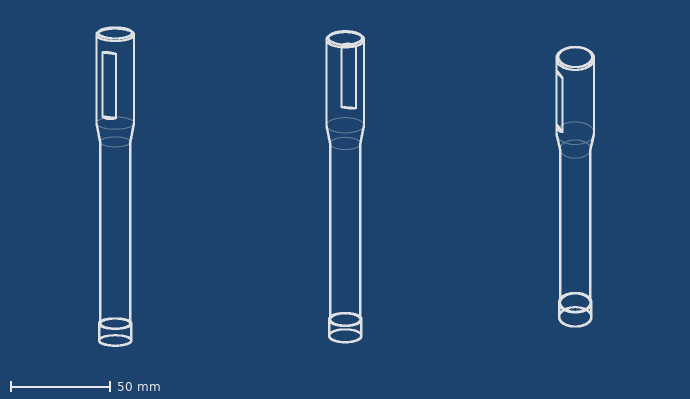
import cadquery as cq
import math

total_length = 166.5

head_diameter = 19.0
head_length = 48.0
head_chamfer = 1.0
taper_length = 10.0
neck_diameter = 15.3

flat_width = 7.3
flat_top_offset = 8.0
flat_length = 34.0
end_wall_angle = 45.0

tip_diameter = 16.3
tip_cylinder_length = 9.0
point_angle = 140.0

head_radius = head_diameter / 2
neck_radius = neck_diameter / 2
tip_radius = tip_diameter / 2
point_height = tip_radius / math.tan(math.radians(point_angle / 2))
tip_top = point_height + tip_cylinder_length
taper_top = total_length - head_length
taper_bottom = taper_top - taper_length


def revolve_profile(points):
    """Revolve a closed (radius, height) outline around the Z axis."""
    return cq.Workplane("XZ").polyline(points).close().revolve(360, (0, 0), (0, 1))


def make_flat_cutter():
    """Trapezoidal prism whose narrow face is the floor of the clamping flat."""
    floor_y = -math.sqrt(head_radius**2 - (flat_width / 2) ** 2)
    cut_reach = 2 * (head_radius + floor_y)
    outer_y = floor_y - cut_reach
    end_spread = cut_reach * math.tan(math.radians(end_wall_angle))
    floor_top = total_length - flat_top_offset
    floor_bottom = floor_top - flat_length
    outline = [
        (floor_y, floor_bottom),
        (floor_y, floor_top),
        (outer_y, floor_top + end_spread),
        (outer_y, floor_bottom - end_spread),
    ]
    return cq.Workplane("YZ").polyline(outline).close().extrude(head_radius, both=True)


def make_shank():
    """Round shank with a chamfered head, a taper and the clamping flat."""
    blank = revolve_profile([
        (0, tip_top),
        (neck_radius, tip_top),
        (neck_radius, taper_bottom),
        (head_radius, taper_top),
        (head_radius, total_length - head_chamfer),
        (head_radius - head_chamfer, total_length),
        (0, total_length),
    ])
    return blank.cut(make_flat_cutter())


def make_cutting_tip():
    """Pointed tip that butts against the lower end of the shank."""
    return revolve_profile([
        (0, 0),
        (tip_radius, point_height),
        (tip_radius, tip_top),
        (0, tip_top),
    ])


shank = make_shank()
cutting_tip = make_cutting_tip()

result = cq.Compound.makeCompound([shank.val(), cutting_tip.val()])